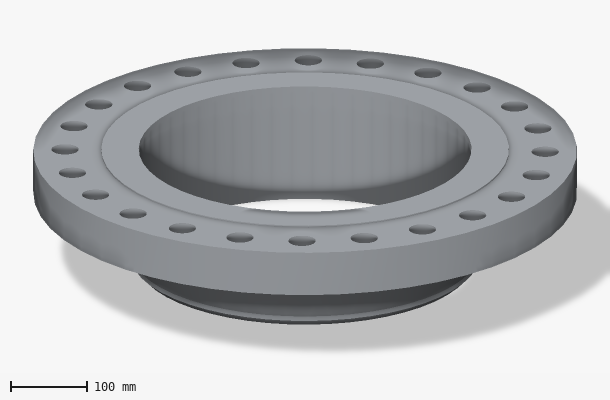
import cadquery as cq

flange_diameter = 711.0
total_height = 158.5

flange_thickness = 60.0
raised_face_diameter = 533.5
raised_face_height = 2.0

hub_top_diameter = 533.5
hub_flare = 4.0
neck_diameter = 456.5
neck_height = 15.0
weld_bevel_width = 8.5
weld_bevel_height = 8.5
bore_diameter = 435.0

bolt_count = 24
bolt_circle_diameter = 628.0
bolt_hole_diameter = 35.5

flange_top = total_height - raised_face_height
flange_bottom = flange_top - flange_thickness

bore_radius = bore_diameter / 2
neck_radius = neck_diameter / 2
hub_radius = hub_top_diameter / 2
flange_radius = flange_diameter / 2
face_radius = raised_face_diameter / 2

body = (
    cq.Workplane("XZ")
    .moveTo(bore_radius, 0)
    .lineTo(neck_radius - weld_bevel_width, 0)
    .lineTo(neck_radius, weld_bevel_height)
    .lineTo(neck_radius, neck_height)
    .lineTo(hub_radius - hub_flare, flange_bottom - hub_flare)
    .lineTo(hub_radius, flange_bottom)
    .lineTo(flange_radius, flange_bottom)
    .lineTo(flange_radius, flange_top)
    .lineTo(face_radius, flange_top)
    .lineTo(face_radius, total_height)
    .lineTo(bore_radius, total_height)
    .close()
    .revolve(360, (0, 0, 0), (0, 1, 0))
)

bolt_holes = (
    cq.Workplane("XY")
    .workplane(offset=flange_bottom)
    .polarArray(bolt_circle_diameter / 2, 0, 360, bolt_count)
    .circle(bolt_hole_diameter / 2)
    .extrude(flange_thickness)
)

result = body.cut(bolt_holes)